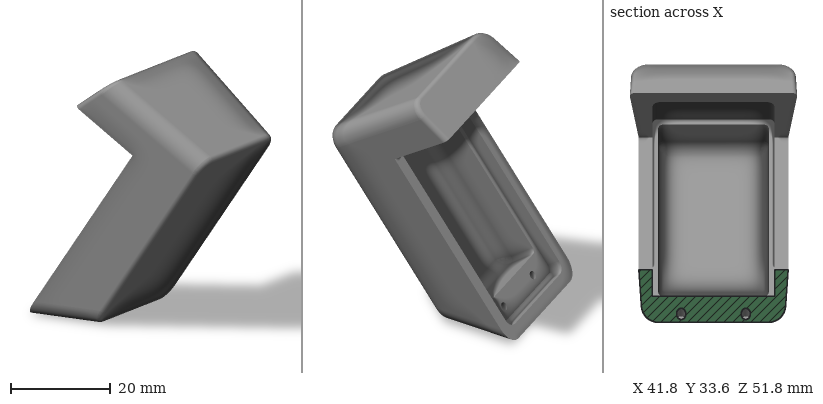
import cadquery as cq
import math

LEAN = 55.0
SIDE_DRAFT = 7.0
DEPTH = 13.0
BODY_LENGTH = 45.4
HOOD_THICKNESS = 9.65
HOOD_REACH = 15.45
HOOD_TIP_ANGLE = 71.0
FRONT_WIDTH = 30.05
CORNER_RADIUS = 3.5
RIM_RADIUS = 1.0

RECESS_WIDTH = 24.4
RECESS_BOTTOM = 2.65
RECESS_TOP = 51.9
RECESS_DEPTH = 3.05
RECESS_FOOT_CORNER = 2.0
RECESS_ROOF_CORNER = 1.0
HOOD_RECESS_CORNER = 1.5
HOOD_RECESS_REACH = 12.3
FLOOR_WALL = 1.0

CAVITY_WIDTH = 22.2
CAVITY_BOTTOM = 8.65
CAVITY_TOP = 50.65
CAVITY_DEPTH = 11.15
CAVITY_CORNER = 1.0
CAVITY_FLOOR_RADIUS = 2.1

HOLE_DIAMETER = 1.75
HOLE_SPACING = 12.95
HOLE_V = 5.7
HOLE_DEPTH = 4.15

SIN = math.sin(math.radians(LEAN))
COS = math.cos(math.radians(LEAN))
TOP = BODY_LENGTH + HOOD_THICKNESS

FACE = cq.Plane(origin=(0, 0, 0), xDir=(0, -1, 0), normal=(-SIN, 0, COS))


def section_point(u, v):
    """World (X, Z) of a point given by depth U and height V."""
    return (u * SIN + v * COS, v * SIN - u * COS)


def side_half_width(u):
    return FRONT_WIDTH / 2 - u * math.tan(math.radians(SIDE_DRAFT))


def block(width, bottom, top, near, far):
    """Box centred across the part, from depth near to depth far."""
    start = FACE.origin - FACE.zDir * near
    plane = cq.Plane(origin=start.toTuple(), xDir=FACE.xDir.toTuple(), normal=(-FACE.zDir).toTuple())
    return cq.Workplane(plane).center(0, -(bottom + top) / 2).rect(width, top - bottom).extrude(far - near)


def nearest(shapes, place):
    """The selected edge or face whose centre is closest to a point."""
    target = cq.Vector(*place)
    return min(shapes.vals(), key=lambda shape: (shape.Center() - target).Length)


def make_body():
    tip_run = HOOD_THICKNESS / math.tan(math.radians(HOOD_TIP_ANGLE))
    foot_back_v = DEPTH * COS / SIN
    profile = [
        (0, 0), (0, BODY_LENGTH), (-HOOD_REACH, BODY_LENGTH), (tip_run - HOOD_REACH, TOP),
        (DEPTH, TOP), (DEPTH, foot_back_v),
    ]
    points = [section_point(u, v) for u, v in profile]
    prism = cq.Workplane("XZ").polyline(points).close().extrude(FRONT_WIDTH, both=True)

    near, far = -2 * HOOD_REACH, 2 * DEPTH
    wedge_points = []
    for u, side in ((near, -1), (far, -1), (far, 1), (near, 1)):
        wedge_points.append((side * side_half_width(u), -u))
    plan = cq.Plane(origin=(-TOP * COS, 0, -TOP * SIN), xDir=(0, 1, 0), normal=(COS, 0, SIN))
    wedge = cq.Workplane(plan).polyline(wedge_points).close().extrude(3 * TOP)
    body = prism.intersect(wedge)

    long_edges = []
    foot_x, foot_z = section_point(DEPTH / 2, foot_back_v / 2)
    roof_u = (tip_run - HOOD_REACH + DEPTH) / 2
    roof_x, roof_z = section_point(roof_u, TOP)
    for side in (-1, 1):
        long_edges.append((foot_x, side * side_half_width(DEPTH / 2), foot_z))
        long_edges.append((roof_x, side * side_half_width(roof_u), roof_z))
    body = body.newObject([nearest(body.edges(), place) for place in long_edges]).fillet(CORNER_RADIUS)

    back = body.faces(cq.selectors.DirectionMinMaxSelector(-FACE.zDir, True)).edges().vals()
    tip_x, tip_z = section_point(tip_run / 2 - HOOD_REACH, BODY_LENGTH + HOOD_THICKNESS / 2)
    tip_face = cq.Workplane(nearest(body.faces(), (tip_x, 0, tip_z)))
    lip_x, lip_z = section_point(-HOOD_REACH, BODY_LENGTH)
    lip = nearest(tip_face.edges(), (lip_x, 0, lip_z))
    front = [edge for edge in tip_face.edges().vals() if not edge.isSame(lip)]
    return body.newObject(back + front).fillet(RIM_RADIUS)


def make_recess():
    recess = block(RECESS_WIDTH, RECESS_BOTTOM, RECESS_TOP, -HOOD_RECESS_REACH, RECESS_DEPTH)
    along_u = cq.selectors.ParallelDirSelector(FACE.zDir)
    for rises, radius in ((False, RECESS_FOOT_CORNER), (True, RECESS_ROOF_CORNER)):
        end_wall = cq.selectors.DirectionMinMaxSelector(FACE.yDir, rises)
        recess = recess.faces(end_wall).edges(along_u).fillet(radius)
    hood_opening = block(RECESS_WIDTH, 0, TOP, -HOOD_RECESS_REACH, RECESS_DEPTH)
    outer_end = cq.selectors.DirectionMinMaxSelector(FACE.zDir, True)
    along_v = cq.selectors.ParallelDirSelector(FACE.yDir)
    hood_opening = hood_opening.faces(outer_end).edges(along_v).fillet(HOOD_RECESS_CORNER)
    recess = recess.intersect(hood_opening)
    above_foot = cq.Workplane("XY").workplane(offset=FLOOR_WALL).rect(4 * TOP, 4 * TOP).extrude(2 * TOP)
    return recess.intersect(above_foot)


def make_cavity():
    cavity = block(CAVITY_WIDTH, CAVITY_BOTTOM, CAVITY_TOP, 0, CAVITY_DEPTH)
    cavity = cavity.edges(cq.selectors.ParallelDirSelector(FACE.zDir)).fillet(CAVITY_CORNER)
    floor = cq.selectors.DirectionMinMaxSelector(-FACE.zDir, True)
    return cavity.faces(floor).edges().fillet(CAVITY_FLOOR_RADIUS)


def make_holes():
    places = [(side * HOLE_SPACING / 2, HOLE_V) for side in (-1, 1)]
    return cq.Workplane(FACE).pushPoints(places).circle(HOLE_DIAMETER / 2).extrude(-RECESS_DEPTH - HOLE_DEPTH)


result = make_body().cut(make_recess()).cut(make_cavity()).cut(make_holes())